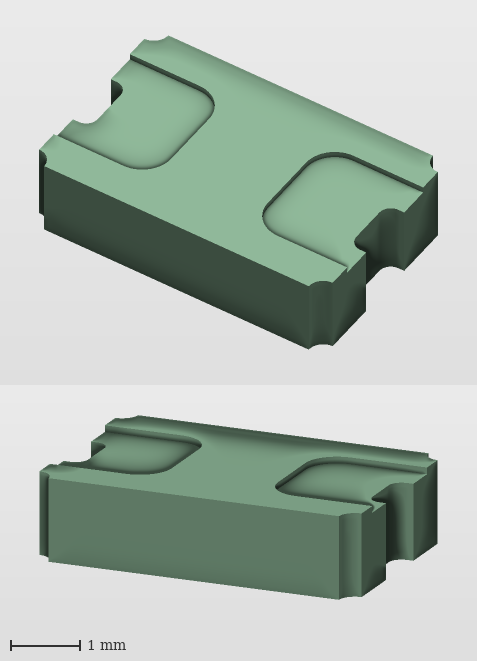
import cadquery as cq

length = 5.08
width = 3.27
height = 1.27
corner_radius = 0.25

notch_width = 1.0
notch_depth = 0.3
notch_radius = 0.2

recess_width = 2 * notch_width
recess_length = 1.7
recess_depth = 0.1
recess_radius = 0.5


def end_cutter(reach, span, radius, depth, side):
    """Rounded slot cut down from the top, reaching inward from one end (side = -1 or 1)."""
    return (
        cq.Workplane("XY")
        .box(2 * reach, span, depth, centered=(True, True, False))
        .edges("|Z")
        .fillet(radius)
        .translate((side * length / 2, 0, height - depth))
    )


result = cq.Workplane("XY").box(length, width, height, centered=(True, True, False))

corner_cutters = (
    cq.Workplane("XY")
    .rect(length, width, forConstruction=True)
    .vertices()
    .circle(corner_radius)
    .extrude(height)
)
result = result.cut(corner_cutters)

for side in (-1, 1):
    result = result.cut(end_cutter(recess_length, recess_width, recess_radius, recess_depth, side))
    result = result.cut(end_cutter(notch_depth, notch_width, notch_radius, height, side))